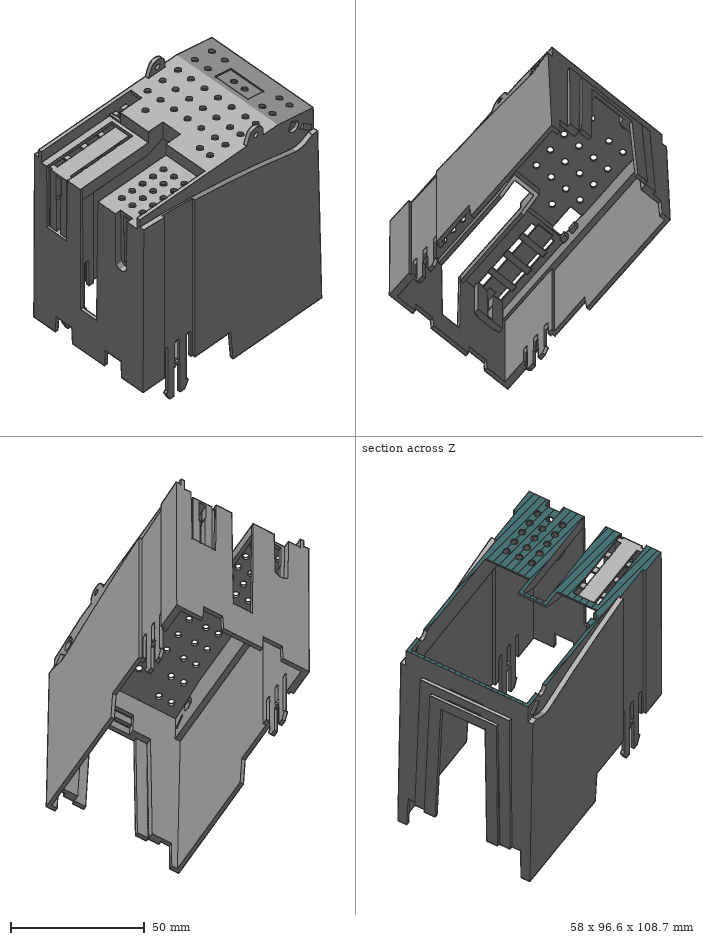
import cadquery as cq
import math


WIDTH = 58.0
HALF_WIDTH = WIDTH / 2
UPPER_HALF_WIDTH = 26.85
INNER_HALF_UPPER = 25.3
INNER_HALF_LOWER = 26.3
WALL = 1.5
INNER_HALF_REAR = HALF_WIDTH - WALL

TOP_Z = 102.3
DECK_Z = 96.7
FRONT_BOTTOM_Z = 14.65
SKIRT_SPLIT_Z = 84.0
DECK_BACK_Y = 36.4

FRONT_DRAFT = 0.4
BACK_Y_BOTTOM = 94.5
BACK_Y_TOP = 92.1
BACK_TOP_Z = 98.7
SLOPE_START_Y = 73.4
SKIRT_FRONT_Y = 47.6
SKIRT_FRONT_Y_UP = 46.4

PANEL_RISE = 1.35
PANEL_TOP_Z = 85.3
PANEL_HALF_BOTTOM = 20.9
PANEL_HALF_TOP = 19.6
RAIL_Y = 96.62
RAIL_TOP_Z = 80.5
RAIL_HALF_BOTTOM = 16.1
RAIL_HALF_TOP = 14.6
OPENING_TOP_Z = 75.7

HOLE_D = 2.6
BACK_SLOPE = (BACK_Y_BOTTOM - BACK_Y_TOP) / BACK_TOP_Z
RAIL_RISE = RAIL_Y - BACK_Y_BOTTOM + BACK_SLOPE * FRONT_BOTTOM_Z
TOP_SLOPE = (TOP_Z - BACK_TOP_Z) / (BACK_Y_TOP - SLOPE_START_Y)
REACH = 200.0


def box(x, y, z):
    """Axis-aligned block from (low, high) pairs."""
    size = (x[1] - x[0], y[1] - y[0], z[1] - z[0])
    return cq.Workplane("XY").box(*size, centered=False).translate((x[0], y[0], z[0]))


def side_prism(outline, x0, x1):
    """Extrude a closed Y-Z outline from x0 to x1."""
    return cq.Workplane("YZ", origin=(x0, 0, 0)).polyline(outline).close().extrude(x1 - x0)


def front_prism(outline, y0, y1):
    """Extrude a closed X-Z outline from y0 back to y1."""
    return cq.Workplane("XZ", origin=(0, y0, 0)).polyline(outline).close().extrude(y0 - y1)


def both_sides(shape):
    return shape.union(shape.mirror("YZ"))


def back_y(z):
    """Y of the drafted back wall at height z."""
    return BACK_Y_BOTTOM - BACK_SLOPE * z


def front_y(z):
    """Y of the drafted front wall at height z."""
    return FRONT_DRAFT * (z - FRONT_BOTTOM_Z) / (TOP_Z - FRONT_BOTTOM_Z)


def slope_z(y):
    """Z of the sloping rear top at depth y."""
    return TOP_Z - TOP_SLOPE * (y - SLOPE_START_Y)


def skirt_body():
    """Full-width lower body with the wavy shoulder along each side."""
    shoulder_front_z = 98.65
    shoulder_rear_z = 87.75
    long_arc_mid, long_arc_end = (40.0, 93.85), (79.6, 85.2)
    dip_mid, dip_end = (83.0, 84.95), (86.3, 85.9)
    ramp_top_y = 89.5
    outline = (
        cq.Workplane("YZ", origin=(-HALF_WIDTH, 0, 0))
        .moveTo(0, FRONT_BOTTOM_Z)
        .lineTo(front_y(shoulder_front_z), shoulder_front_z)
        .threePointArc(long_arc_mid, long_arc_end)
        .threePointArc(dip_mid, dip_end)
        .lineTo(ramp_top_y, shoulder_rear_z)
        .lineTo(back_y(shoulder_rear_z), shoulder_rear_z)
        .lineTo(BACK_Y_BOTTOM, 0)
        .lineTo(SKIRT_FRONT_Y, 0)
        .lineTo(SKIRT_FRONT_Y_UP, FRONT_BOTTOM_Z)
        .close()
    )
    return outline.extrude(WIDTH)


def upper_body():
    outline = [
        (0, FRONT_BOTTOM_Z),
        (front_y(TOP_Z), TOP_Z),
        (SLOPE_START_Y, TOP_Z),
        (BACK_Y_TOP, BACK_TOP_Z),
        (back_y(FRONT_BOTTOM_Z), FRONT_BOTTOM_Z),
    ]
    return side_prism(outline, -UPPER_HALF_WIDTH, UPPER_HALF_WIDTH)


def deck_clearance():
    """Space above the lowered front deck, between the upper side walls."""
    span = (-INNER_HALF_UPPER, INNER_HALF_UPPER)
    return box(span, (-WALL, DECK_BACK_Y), (DECK_Z, TOP_Z + WALL))


def cavity():
    step_wall = 1.2
    step_y = DECK_BACK_Y + step_wall
    corner_z = BACK_TOP_Z - WALL
    upper = side_prism(
        [
            (WALL, -WALL),
            (WALL, DECK_Z - WALL),
            (step_y, DECK_Z - WALL),
            (step_y, TOP_Z - WALL),
            (SLOPE_START_Y, TOP_Z - WALL),
            (back_y(corner_z) - WALL, corner_z),
            (back_y(-WALL) - WALL, -WALL),
        ],
        -INNER_HALF_UPPER,
        INNER_HALF_UPPER,
    )
    rear_start_y = RECESS_Y[1] + WALL
    lower = lower_cavity(INNER_HALF_LOWER, WALL)
    rear = lower_cavity(INNER_HALF_REAR, rear_start_y)
    return upper.union(lower).union(rear)


def lower_cavity(half, start_y):
    """Cavity between the skirts, from start_y back to the rear wall."""
    outline = [
        (start_y, -WALL),
        (start_y, SKIRT_SPLIT_Z),
        (back_y(SKIRT_SPLIT_Z) - WALL, SKIRT_SPLIT_Z),
        (back_y(-WALL) - WALL, -WALL),
    ]
    return side_prism(outline, -half, half)


def back_bottom_opening():
    """Clears the back wall between the deep rear skirts, below the front bottom edge."""
    half_low, half_high = 25.1, 24.7
    outline = [
        (-half_low, -WALL),
        (half_low, -WALL),
        (half_high, FRONT_BOTTOM_Z),
        (-half_high, FRONT_BOTTOM_Z),
    ]
    return front_prism(outline, SKIRT_FRONT_Y, REACH)


def back_block(half_bottom, half_top, z_bottom, z_top, offsets):
    """Tapered block lying along the drafted back wall.

    The two offsets place its inner and outer faces relative to the wall's outer face.
    """
    inner, outer = offsets
    trapezoid = [
        (-half_bottom, z_bottom),
        (half_bottom, z_bottom),
        (half_top, z_top),
        (-half_top, z_top),
    ]
    leaning_slab = [
        (back_y(z_bottom) + inner, z_bottom),
        (back_y(z_bottom) + outer, z_bottom),
        (back_y(z_top) + outer, z_top),
        (back_y(z_top) + inner, z_top),
    ]
    slab = side_prism(leaning_slab, -HALF_WIDTH, HALF_WIDTH)
    return front_prism(trapezoid, DECK_BACK_Y, REACH).intersect(slab)


def back_panel():
    """Raised panel carrying the rail frame, stepped outward in two stages."""
    sunk = -WALL / 2
    panel = back_block(
        PANEL_HALF_BOTTOM, PANEL_HALF_TOP, FRONT_BOTTOM_Z, PANEL_TOP_Z, (sunk, PANEL_RISE)
    )
    rail_frame = back_block(
        RAIL_HALF_BOTTOM, RAIL_HALF_TOP, FRONT_BOTTOM_Z, RAIL_TOP_Z, (sunk, RAIL_RISE)
    )
    return panel.union(rail_frame)


def back_openings():
    """Opening between the rails, with a wider rebate and a stepped recess inside."""
    opening_half_bottom, opening_half_top = 11.3, 9.7
    recess_half = 7.0
    panel_recess_top_z, frame_recess_top_z = 85.7, 80.8
    inner, through = -2 * WALL, 2 * RAIL_RISE
    panel_depth = PANEL_RISE - WALL
    frame_depth = RAIL_RISE - WALL
    rebate_lip = 0.2
    low_z = FRONT_BOTTOM_Z
    opening = back_block(opening_half_bottom, opening_half_top, low_z, OPENING_TOP_Z, (inner, through))
    rebate = back_block(
        RAIL_HALF_BOTTOM + rebate_lip, RAIL_HALF_TOP, low_z, OPENING_TOP_Z, (inner, frame_depth)
    )
    panel_recess = back_block(recess_half, recess_half, low_z, panel_recess_top_z, (inner, panel_depth))
    frame_recess = back_block(recess_half, recess_half, low_z, frame_recess_top_z, (inner, frame_depth))
    return opening.union(rebate).union(panel_recess).union(frame_recess)


CLIP_OUTER = 27.7
RECESS_Y = (11.4, 27.4)
CENTRE_GAP_Y = (18.1, 20.5)
BRIDGE_TOP_Z = 17.2


def side_recesses():
    return both_sides(box((CLIP_OUTER, HALF_WIDTH + WALL), RECESS_Y, (0, TOP_Z)))


def snap_clips():
    """Two barbed prongs hanging below each side recess."""
    barb_z, shoulder_z = 3.8, 4.8
    barb, tip = 1.0, 0.9
    front_prong, rear_prong = (14.5, 17.75), (20.9, 24.2)
    top_z = FRONT_BOTTOM_Z + WALL

    def prong(inner_y, outer_y, outward):
        outline = [
            (inner_y, top_z),
            (outer_y, top_z),
            (outer_y, shoulder_z),
            (outer_y + outward * barb, barb_z),
            (outer_y - outward * tip, 0),
            (inner_y, 0),
        ]
        return side_prism(outline, INNER_HALF_LOWER, CLIP_OUTER)

    pair = prong(front_prong[1], front_prong[0], -1)
    pair = pair.union(prong(rear_prong[0], rear_prong[1], 1))
    return both_sides(pair)


def clip_slots():
    """Round-topped slots that free the clip prongs from the side walls."""
    slot_top_z = 27.9
    open_z = FRONT_BOTTOM_Z - WALL
    slots = [
        ((12.4, 14.5), open_z),
        (CENTRE_GAP_Y, BRIDGE_TOP_Z),
        ((24.2, 26.6), open_z),
    ]
    cutters = cq.Workplane("XY")
    for (y0, y1), low_z in slots:
        radius = (y1 - y0) / 2
        slot = (
            cq.Workplane("YZ", origin=(INNER_HALF_LOWER - WALL, 0, 0))
            .moveTo(y0, low_z)
            .lineTo(y0, slot_top_z - radius)
            .threePointArc((y0 + radius, slot_top_z), (y1, slot_top_z - radius))
            .lineTo(y1, low_z)
            .close()
            .extrude(3 * WALL)
        )
        cutters = cutters.add(slot)
    return both_sides(cutters.combine())


def bridge_bevels():
    """Bevels along the outer edges of the bridge between the prongs."""
    outer, bevel = CLIP_OUTER, 0.6
    top = [(outer, BRIDGE_TOP_Z - bevel), (outer, BRIDGE_TOP_Z), (outer - bevel, BRIDGE_TOP_Z)]
    bottom_z = FRONT_BOTTOM_Z
    bottom = [(outer, bottom_z + bevel), (outer - bevel, bottom_z), (outer, bottom_z)]
    cutters = front_prism(top, *CENTRE_GAP_Y).union(front_prism(bottom, *CENTRE_GAP_Y))
    return both_sides(cutters)


def lugs():
    """Pierced ears standing on the upper side walls."""
    centre_y, centre_z = 61.8, 104.9
    radius, hole_r = 3.75, 1.2
    inner_x = 25.2
    flank = math.radians(15)
    root_z = TOP_Z - WALL
    rear_base, front_base = 65.8, 56.9
    ear = (
        cq.Workplane("YZ", origin=(inner_x, 0, 0))
        .moveTo(front_base, TOP_Z)
        .lineTo(centre_y - radius * math.cos(flank), centre_z + radius * math.sin(flank))
        .threePointArc((centre_y, centre_z + radius), (centre_y + radius, centre_z))
        .lineTo(rear_base, TOP_Z)
        .lineTo(rear_base, root_z)
        .lineTo(front_base, root_z)
        .close()
        .extrude(UPPER_HALF_WIDTH - inner_x)
    )
    eye = cq.Workplane("YZ").center(centre_y, centre_z).circle(hole_r).extrude(REACH)
    return both_sides(ear.cut(eye))


def pivot_holes():
    """Keyed holes through both upper side walls."""
    centre = (81.9, 95.6)
    key_centre = (80.8, 98.2)
    bore_r, key_r = 2.55, 0.7
    bore = cq.Workplane("YZ").center(*centre).circle(bore_r).extrude(REACH / 2, both=True)
    key = cq.Workplane("YZ").center(*key_centre).circle(key_r).extrude(REACH / 2, both=True)
    return bore.union(key)


def side_pins():
    """Half-buried inclined pins on the upper side walls, near the back."""
    rear, front = (90.1, 89.8), (85.8, 93.3)
    radius, axis_inset = 1.35, 0.35
    run = cq.Vector(0, front[0] - rear[0], front[1] - rear[1])
    start = cq.Vector(UPPER_HALF_WIDTH - axis_inset, *rear)
    return both_sides(cq.Workplane(cq.Solid.makeCylinder(radius, run.Length, start, run)))


LEFT_COLUMNS = (-20.65, -13.8)
RIGHT_COLUMNS = (15.1, 20.55)
MIDDLE_COLUMNS = (-6.6, 0.6, 7.8)
DECK_COLUMNS = (9.5,) + RIGHT_COLUMNS


def vent_holes():
    columns = LEFT_COLUMNS + RIGHT_COLUMNS
    top_rows = [51.9, 59.9, 68.0]
    slope_rows = [76.9, 85.9]
    cut_row_y = 43.9
    deck_first_y, deck_pitch, deck_rows = 8.2, 5.5, 5
    plaque_y, plaque_x = 79.8, 2.85
    points = [(x, y) for y in top_rows for x in columns + MIDDLE_COLUMNS]
    points += [(x, y) for y in slope_rows for x in columns]
    points += [(x, cut_row_y) for x in LEFT_COLUMNS[1:] + RIGHT_COLUMNS]
    points += [(x, deck_first_y + deck_pitch * i) for i in range(deck_rows) for x in DECK_COLUMNS]
    points += [(-plaque_x, plaque_y), (plaque_x, plaque_y)]
    start_z = DECK_Z - 2 * WALL
    return cq.Workplane("XY", origin=(0, 0, start_z)).pushPoints(points).circle(HOLE_D / 2).extrude(TOP_Z)


def plaque_recess():
    """Shallow rectangular recess in the sloping rear top."""
    length, depth = 17.5, 0.7
    y_span = (75.6, 84.1)
    outline = [
        (y_span[0], slope_z(y_span[0]) - depth),
        (y_span[1], slope_z(y_span[1]) - depth),
        (y_span[1], TOP_Z),
        (y_span[0], TOP_Z),
    ]
    return side_prism(outline, -length / 2, length / 2)


SLOT_HALF_TOP = 4.65
SLOT_END_Y = 44.0
SLOT_BOTTOM_Z = 35.2
SLOT_LINER_END_Z = 94.7
SLOT_LINER_SIDE_Z = 90.6


def slot_liner():
    """Walls hanging around the central slot under the top and the deck."""
    half = SLOT_HALF_TOP + WALL
    end_y = SLOT_END_Y + WALL
    outline = [
        (WALL / 2, SLOT_LINER_SIDE_Z),
        (DECK_BACK_Y, SLOT_LINER_SIDE_Z),
        (end_y, SLOT_LINER_END_Z),
        (end_y, TOP_Z),
        (DECK_BACK_Y, TOP_Z),
        (DECK_BACK_Y, DECK_Z),
        (WALL / 2, DECK_Z),
    ]
    return side_prism(outline, -half, half)


def central_slot():
    half_bottom = 4.2
    front = front_prism(
        [
            (-half_bottom, SLOT_BOTTOM_Z),
            (half_bottom, SLOT_BOTTOM_Z),
            (SLOT_HALF_TOP, DECK_Z),
            (-SLOT_HALF_TOP, DECK_Z),
        ],
        -WALL,
        2 * WALL,
    )
    through = box((-SLOT_HALF_TOP, SLOT_HALF_TOP), (WALL, SLOT_END_Y), (SLOT_BOTTOM_Z, TOP_Z + WALL))
    return front.union(through)


def bottom_notches():
    """Tapered notches in the bottom edge of the front wall."""
    notch_top_z = 22.7
    low_z = FRONT_BOTTOM_Z - WALL
    inner_low_x, outer_low_x = 8.4, 17.6
    inner_top_x, outer_top_x = 8.9, 17.2
    outline = [
        (inner_low_x, low_z),
        (outer_low_x, low_z),
        (outer_top_x, notch_top_z),
        (inner_top_x, notch_top_z),
    ]
    return both_sides(front_prism(outline, -WALL, 2 * WALL))


def corner_window():
    """Window at the left end of the step, leaving a low sill."""
    sill_z = 97.4
    right_edge_x = -19.6
    rear_y = 47.7
    x_span = (-INNER_HALF_UPPER, right_edge_x)
    return box(x_span, (DECK_BACK_Y - WALL, rear_y), (sill_z, TOP_Z + WALL))


def window_tabs():
    """Small tabs on the inside of the side wall, below the corner window."""
    z_span = (93.0, 97.0)
    wall_x = -INNER_HALF_UPPER - WALL / 2
    rear_tip_x, front_tip_x = -23.7, -23.3
    rear_y_span = (42.0, 45.2)
    front_y_span = (DECK_BACK_Y + WALL / 2, 39.7)
    rear_tab = box((wall_x, rear_tip_x), rear_y_span, z_span)
    front_tab = box((wall_x, front_tip_x), front_y_span, z_span)
    return rear_tab.union(front_tab)


TONGUE_CENTRE_X = -17.0
TONGUE_POCKET_BOTTOM_Z = 65.5
TONGUE_BACK_Y = 34.8
TONGUE_TOP_Z = 95.3


def key_slot(centre_x, z_bottom, head_top_z, y1):
    """Vertical slot through to depth y1, with a wider head that narrows lower on its left."""
    head_half, stem_half = 1.5, 1.05
    left_neck_z, right_neck_z = 82.5, 86.0
    outline = [
        (centre_x - stem_half, z_bottom),
        (centre_x + stem_half, z_bottom),
        (centre_x + stem_half, right_neck_z - stem_half),
        (centre_x + head_half, right_neck_z),
        (centre_x + head_half, head_top_z),
        (centre_x - head_half, head_top_z),
        (centre_x - head_half, left_neck_z),
        (centre_x - stem_half, left_neck_z - stem_half),
    ]
    return front_prism(outline, 0, y1)


def tongue_pocket():
    """Opening in the deck and the front wall around the left tongue."""
    half_top, half_bottom = 5.5, 5.15
    front = front_prism(
        [
            (TONGUE_CENTRE_X - half_bottom, TONGUE_POCKET_BOTTOM_Z),
            (TONGUE_CENTRE_X + half_bottom, TONGUE_POCKET_BOTTOM_Z),
            (TONGUE_CENTRE_X + half_top, DECK_Z),
            (TONGUE_CENTRE_X - half_top, DECK_Z),
        ],
        -WALL,
        2 * WALL,
    )
    x_span = (TONGUE_CENTRE_X - half_top, TONGUE_CENTRE_X + half_top)
    deck = box(x_span, (WALL, TONGUE_BACK_Y), (DECK_Z - 2 * WALL, DECK_Z + WALL))
    return front.union(deck)


def tongue():
    """Slotted tongue bent over the front edge, held by cross ribs and the pocket ends."""
    top_half, front_half, rib_half = 3.5, 4.2, 6.0
    face_y = 1.2
    slot_head_z = 93.9
    front_rib_y = (2.0, 4.0)
    rib_spans = [(9.7, 12.1), (18.5, 21.1), (27.5, 30.0)]
    rib_z = (DECK_Z - 2 * WALL, TONGUE_TOP_Z - WALL / 2)
    tall_z = (TONGUE_POCKET_BOTTOM_Z - WALL, TONGUE_TOP_Z)

    def across(half):
        return (TONGUE_CENTRE_X - half, TONGUE_CENTRE_X + half)

    body = box(across(top_half), (face_y, TONGUE_BACK_Y + WALL), (TONGUE_TOP_Z - WALL, TONGUE_TOP_Z))
    body = body.union(box(across(front_half), (face_y, face_y + WALL), tall_z))
    body = body.union(box(across(rib_half), front_rib_y, tall_z))
    for y_span in rib_spans:
        body = body.union(box(across(rib_half), y_span, rib_z))
    return body.cut(key_slot(TONGUE_CENTRE_X, TONGUE_POCKET_BOTTOM_Z, slot_head_z, front_rib_y[1] + WALL))


GUIDE_X = 17.0
GUIDE_DEPTH = 3.2
GUIDE_HALF_TOP = 3.1
GUIDE_HALF_BOTTOM = 2.85
GUIDE_BOTTOM_Z = 69.6


def guide_shape(grow):
    """Round-bottomed groove from the deck down, enlarged all round by grow."""
    half_top = GUIDE_HALF_TOP + grow
    half_bottom = GUIDE_HALF_BOTTOM + grow
    centre_z = GUIDE_BOTTOM_Z + GUIDE_HALF_BOTTOM
    return (
        cq.Workplane("XZ", origin=(0, -WALL, 0))
        .moveTo(GUIDE_X - half_top, DECK_Z)
        .lineTo(GUIDE_X - half_bottom, centre_z)
        .threePointArc((GUIDE_X, centre_z - half_bottom), (GUIDE_X + half_bottom, centre_z))
        .lineTo(GUIDE_X + half_top, DECK_Z)
        .close()
        .extrude(-WALL - GUIDE_DEPTH - grow)
    )


def guide_backing():
    """Thickened wall around and behind the right groove."""
    return guide_shape(WALL).intersect(upper_body())


def guide_groove():
    """Groove in the front wall with a narrower slot through its floor."""
    slot_bottom_z, slot_head_z = 71.5, 95.0
    slot = key_slot(-GUIDE_X, slot_bottom_z, slot_head_z, GUIDE_DEPTH + 2 * WALL)
    return guide_shape(0).union(slot.mirror("YZ"))


def build():
    body = skirt_body().union(upper_body()).cut(deck_clearance())
    body = body.union(back_panel())
    body = body.cut(cavity()).cut(back_bottom_opening()).cut(back_openings())
    body = body.cut(side_recesses()).union(snap_clips()).cut(clip_slots()).cut(bridge_bevels())
    body = body.union(lugs()).union(side_pins()).cut(pivot_holes())
    body = body.union(slot_liner()).cut(central_slot())
    body = body.cut(corner_window()).union(window_tabs())
    body = body.cut(tongue_pocket()).union(tongue())
    body = body.union(guide_backing()).cut(guide_groove())
    body = body.cut(plaque_recess()).cut(vent_holes()).cut(bottom_notches())
    return body


result = build()